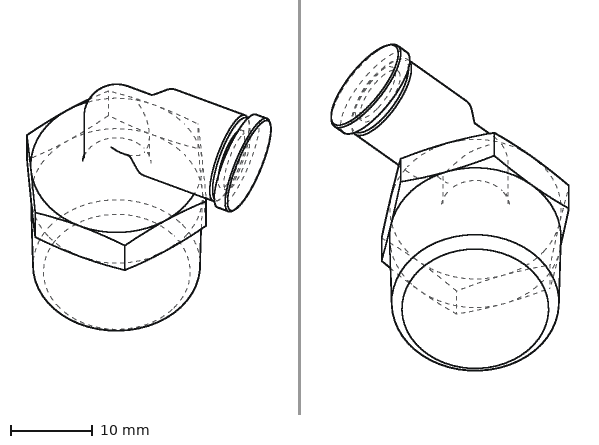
import cadquery as cq
import math

overall_height = 36.2

thread_height = 15.0
thread_root_radius = 10.5
thread_tip_radius = 10.25
lead_chamfer = 1.25

hex_across_flats = 21.0
hex_height = 6.0
hex_crown_drop = 0.58
hex_top = thread_height + hex_height

tube_radius = 4.0
elbow_height = 30.6
neck_height = 1.4
neck_radius = 4.2
neck_fillet = 0.25

body_radius = overall_height - elbow_height
body_end = 15.5
body_edge_chamfer = 0.25
shoulder_start = 3.45
shoulder_angle = 39
shoulder_fillet = 1.0

sleeve_radius = 3.75
collar_start = 16.25
collar_end = 17.95
collar_half_width = 6.48
collar_half_height = 5.5
collar_edge_chamfer = 0.2


def make_thread():
    tip_end_radius = thread_tip_radius - lead_chamfer
    profile = cq.Workplane("XZ").polyline([
        (0, 0),
        (tip_end_radius, 0),
        (thread_tip_radius, lead_chamfer),
        (thread_root_radius, thread_height),
        (0, thread_height),
    ]).close()
    return profile.revolve(360, (0, 0, 0), (0, 1, 0))


def make_hex():
    face_radius = hex_across_flats / 2
    corner_radius = face_radius / math.cos(math.radians(30))
    prism = (
        cq.Workplane("XY", origin=(0, 0, thread_height))
        .polygon(6, 2 * corner_radius)
        .extrude(hex_height)
    )
    crown = cq.Workplane("XZ").polyline([
        (0, thread_height),
        (face_radius, thread_height),
        (corner_radius, thread_height + hex_crown_drop),
        (corner_radius, hex_top - hex_crown_drop),
        (face_radius, hex_top),
        (0, hex_top),
    ]).close().revolve(360, (0, 0, 0), (0, 1, 0))
    return prism.intersect(crown)


def make_upright_tube():
    flare_start = hex_top + neck_fillet
    profile = (
        cq.Workplane("XZ")
        .moveTo(0, hex_top)
        .lineTo(neck_radius + neck_fillet, hex_top)
        .radiusArc((neck_radius, flare_start), neck_fillet)
        .lineTo(tube_radius, hex_top + neck_height)
        .lineTo(tube_radius, elbow_height)
        .lineTo(0, elbow_height)
        .close()
    )
    tube = profile.revolve(360, (0, 0, 0), (0, 1, 0))
    ball = cq.Workplane("XY").sphere(tube_radius).translate((0, 0, elbow_height))
    return tube.union(ball)


def make_body():
    angle = math.radians(shoulder_angle)
    shoulder_end = shoulder_start + (body_radius - tube_radius) / math.tan(angle)
    setback = shoulder_fillet * math.tan(angle / 2)
    along = setback * math.cos(angle)
    across = setback * math.sin(angle)
    profile = (
        cq.Workplane("XZ", origin=(0, 0, elbow_height))
        .lineTo(0, tube_radius)
        .lineTo(shoulder_start - setback, tube_radius)
        .radiusArc((shoulder_start + along, tube_radius + across), -shoulder_fillet)
        .lineTo(shoulder_end - along, body_radius - across)
        .radiusArc((shoulder_end + setback, body_radius), shoulder_fillet)
        .lineTo(body_end - body_edge_chamfer, body_radius)
        .lineTo(body_end, body_radius - body_edge_chamfer)
        .lineTo(body_end, 0)
        .close()
    )
    return profile.revolve(360, (0, 0, 0), (1, 0, 0))


def make_collar():
    sleeve = (
        cq.Workplane("YZ", origin=(body_end, 0, elbow_height))
        .circle(sleeve_radius)
        .extrude(collar_start - body_end)
    )
    collar = (
        cq.Workplane("YZ", origin=(collar_start, 0, elbow_height))
        .ellipse(collar_half_width, collar_half_height)
        .extrude(collar_end - collar_start)
        .faces(">X")
        .edges()
        .chamfer(collar_edge_chamfer)
    )
    return sleeve.union(collar)


result = (
    make_thread()
    .union(make_hex())
    .union(make_upright_tube())
    .union(make_body())
    .union(make_collar())
)